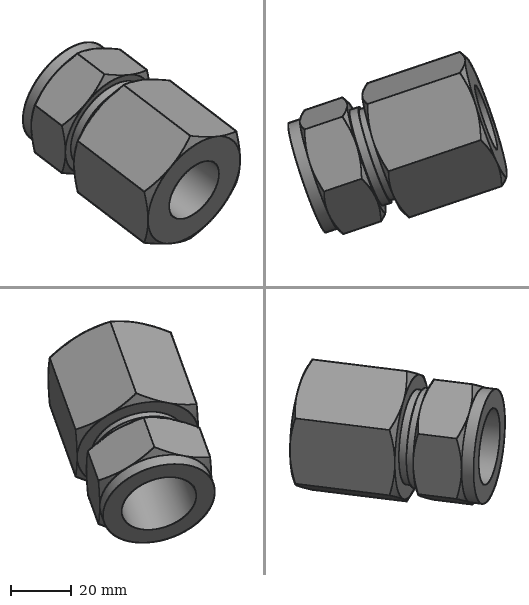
import cadquery as cq
import math

NUT_FLATS = 38.1
BODY_FLATS = 41.275

LENGTH = 62.23
COLLAR_END = 4.1
NUT_END = 20.6
SHOULDER_END = 23.6
BODY_START = 26.4

SHOULDER_DIAMETER = 33.3
NECK_DIAMETER = 31.6
TUBE_SOCKET_DIAMETER = 25.4
BORE_DIAMETER = 22.3

TUBE_SOCKET_DEPTH = 24.0
CORNER_CHAMFER_ANGLE = 30.0


def cylinder(diameter, start, end):
    """Round bar along X between two stations."""
    return cq.Workplane("YZ", origin=(start, 0, 0)).circle(diameter / 2).extrude(end - start)


def chamfered_hexagon(flats, start, end):
    """Hexagonal bar along X, corners up and down, both ends trimmed by cones touching the flats."""
    corner_radius = flats / math.sqrt(3)
    flat_radius = flats / 2
    chamfer_length = (corner_radius - flat_radius) * math.tan(math.radians(CORNER_CHAMFER_ANGLE))
    bar = (
        cq.Workplane("YZ", origin=(start, 0, 0))
        .transformed(rotate=(0, 0, 90))
        .polygon(6, 2 * corner_radius)
        .extrude(end - start)
    )
    envelope = (
        cq.Workplane("XY")
        .moveTo(start, 0)
        .lineTo(start, flat_radius)
        .lineTo(start + chamfer_length, corner_radius)
        .lineTo(end - chamfer_length, corner_radius)
        .lineTo(end, flat_radius)
        .lineTo(end, 0)
        .close()
        .revolve(360, (0, 0, 0), (1, 0, 0))
    )
    return bar.intersect(envelope)


collar = cylinder(NUT_FLATS, 0, COLLAR_END)
nut = chamfered_hexagon(NUT_FLATS, COLLAR_END, NUT_END)

shoulder = cylinder(SHOULDER_DIAMETER, NUT_END, SHOULDER_END)
neck = cylinder(NECK_DIAMETER, SHOULDER_END, BODY_START)
body = chamfered_hexagon(BODY_FLATS, BODY_START, LENGTH)

tube_socket = cylinder(TUBE_SOCKET_DIAMETER, 0, TUBE_SOCKET_DEPTH)
bore = cylinder(BORE_DIAMETER, 0, LENGTH)

result = collar.union(nut).union(shoulder).union(neck).union(body).cut(tube_socket).cut(bore)